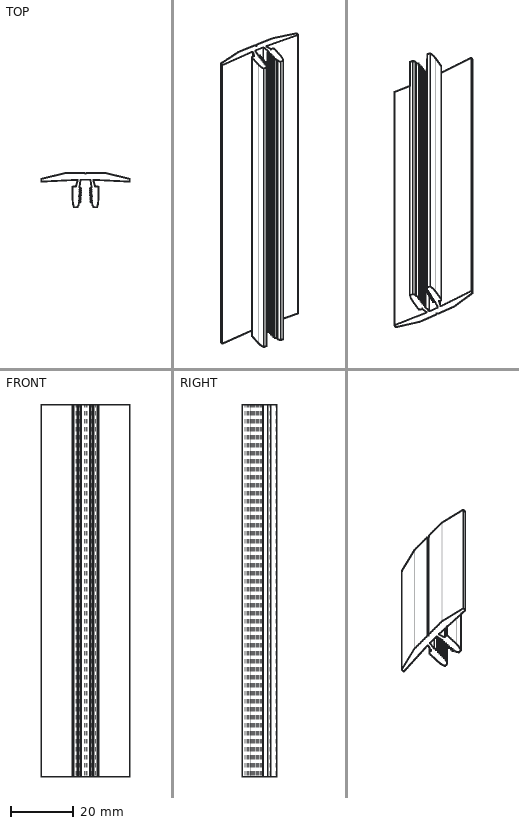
import cadquery as cq

length = 120.0
half_width = 14.3
depth = 11.2

crown_y = depth / 2
crown_half_width = 6.4
edge_top_drop = 1.9
plate_bottom_drop = 2.9
web_bottom_drop = 2.3
groove_half_width = 0.4
groove_depth = 0.4

stem_root_drop = 1.2
stem_outer = 2.5
stem_inner = 1.5
neck_outer = 3.1
shoulder_drop = 4.3
shoulder_chamfer = 0.2
leg_outer = 4.2
outer_curve_drop = 8.5
tip_outer = 3.7
tip_inner = 2.6
tip_taper_drop = 10.3

tooth_count = 7
tooth_pitch = 0.7
tooth_start_drop = 4.7
tooth_height = 0.6
first_root = 1.9
last_root = 2.2


def at_drop(x, drop):
    """XY point at a given distance below the crown."""
    return (x, crown_y - drop)


def make_plate():
    """Cover plate with sloping flanks and a small V-groove along the crown."""
    right_side = [
        (groove_half_width, 0),
        (crown_half_width, 0),
        (half_width, edge_top_drop),
        (half_width, plate_bottom_drop),
        (stem_outer, web_bottom_drop),
    ]
    left_side = [(-x, drop) for x, drop in reversed(right_side)]
    outline = [at_drop(x, drop) for x, drop in [(0, groove_depth)] + right_side + left_side]
    return cq.Workplane("XY").polyline(outline).close().extrude(length / 2, both=True)


def tooth_points():
    """Zigzag of the gripping teeth, from the tip of the leg up to its neck."""
    root_step = (last_root - first_root) / tooth_count
    points = [at_drop(last_root, tooth_start_drop + tooth_count * tooth_pitch)]
    for index in reversed(range(tooth_count)):
        root = first_root + index * root_step
        root_drop = tooth_start_drop + index * tooth_pitch
        points.append(at_drop(root - tooth_height, root_drop + tooth_pitch / 2))
        points.append(at_drop(root, root_drop))
    return points


def make_leg():
    """Leg on the +X side, with a slim neck, a shoulder, teeth and a tapered tip."""
    outline = (
        cq.Workplane("XY")
        .moveTo(*at_drop(stem_outer, stem_root_drop))
        .lineTo(*at_drop(stem_outer, web_bottom_drop))
        .lineTo(*at_drop(neck_outer, shoulder_drop))
        .lineTo(*at_drop(leg_outer - shoulder_chamfer, shoulder_drop))
        .lineTo(*at_drop(leg_outer, shoulder_drop + shoulder_chamfer))
        .lineTo(*at_drop(leg_outer, outer_curve_drop))
        .tangentArcPoint(at_drop(tip_outer, depth), relative=False)
        .lineTo(*at_drop(tip_inner, depth))
        .lineTo(*at_drop(last_root, tip_taper_drop))
    )
    for point in tooth_points():
        outline = outline.lineTo(*point)
    outline = outline.lineTo(*at_drop(stem_inner, web_bottom_drop))
    outline = outline.lineTo(*at_drop(stem_inner, stem_root_drop))
    return outline.close().extrude(length / 2, both=True)


leg = make_leg()
result = make_plate().union(leg).union(leg.mirror("YZ"))